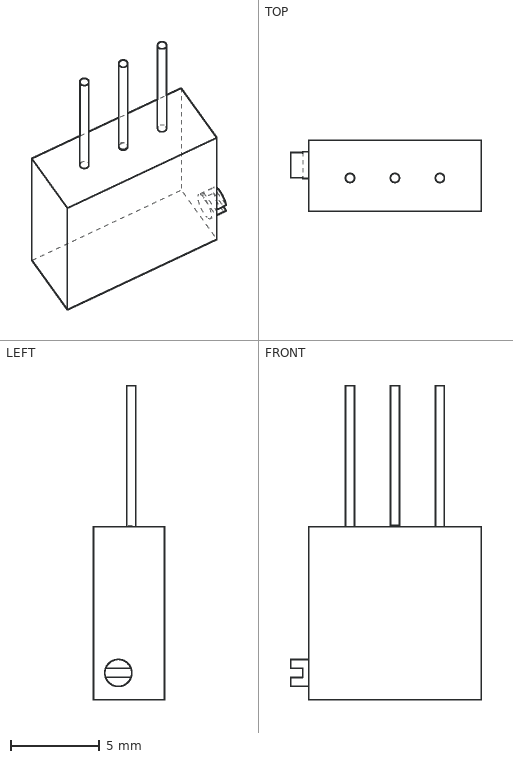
import cadquery as cq

TOTAL_LENGTH = 10.79
TOTAL_HEIGHT = 17.77

HOUSING_LENGTH = 9.77
HOUSING_WIDTH = 4.02
HOUSING_HEIGHT = 9.8

PIN_DIAMETER = 0.52
PIN_PITCH = 2.54
PIN_ROW_Y = -0.12
PIN_LENGTH = TOTAL_HEIGHT - HOUSING_HEIGHT
STUB_HEIGHT = 0.07

SCREW_DIAMETER = 1.53
SCREW_LENGTH = TOTAL_LENGTH - HOUSING_LENGTH
SCREW_Y = 0.6
SCREW_Z = 1.53
SLOT_WIDTH = 0.52
SLOT_DEPTH = 0.68


def upright_rod(x, base_z, length):
    """Round rod of pin diameter standing in the pin row."""
    return (
        cq.Workplane("XY", origin=(x, PIN_ROW_Y, base_z))
        .circle(PIN_DIAMETER / 2)
        .extrude(length)
    )


def adjustment_screw():
    """Screw head with a straight slot running along Y across its outer end."""
    face_x = -HOUSING_LENGTH / 2
    head = (
        cq.Workplane("YZ", origin=(face_x, SCREW_Y, SCREW_Z))
        .circle(SCREW_DIAMETER / 2)
        .extrude(-SCREW_LENGTH)
    )
    slot_centre_x = face_x - SCREW_LENGTH + SLOT_DEPTH / 2
    slot = cq.Workplane("XY", origin=(slot_centre_x, SCREW_Y, SCREW_Z)).box(
        SLOT_DEPTH, SCREW_DIAMETER, SLOT_WIDTH
    )
    return head.cut(slot)


def make_housing():
    """Block carrying the screw, the two outer pins and the middle pin's stub."""
    body = cq.Workplane("XY").box(
        HOUSING_LENGTH, HOUSING_WIDTH, HOUSING_HEIGHT, centered=(True, True, False)
    )
    body = body.union(adjustment_screw())
    for side in (-1, 1):
        body = body.union(upright_rod(side * PIN_PITCH, HOUSING_HEIGHT, PIN_LENGTH))
    return body.union(upright_rod(0, HOUSING_HEIGHT, STUB_HEIGHT))


def make_middle_pin():
    """Separate middle pin, standing on the stub and level with the outer pins."""
    return upright_rod(0, HOUSING_HEIGHT + STUB_HEIGHT, PIN_LENGTH - STUB_HEIGHT)


housing = make_housing()
middle_pin = make_middle_pin()

result = cq.Compound.makeCompound([housing.val(), middle_pin.val()])